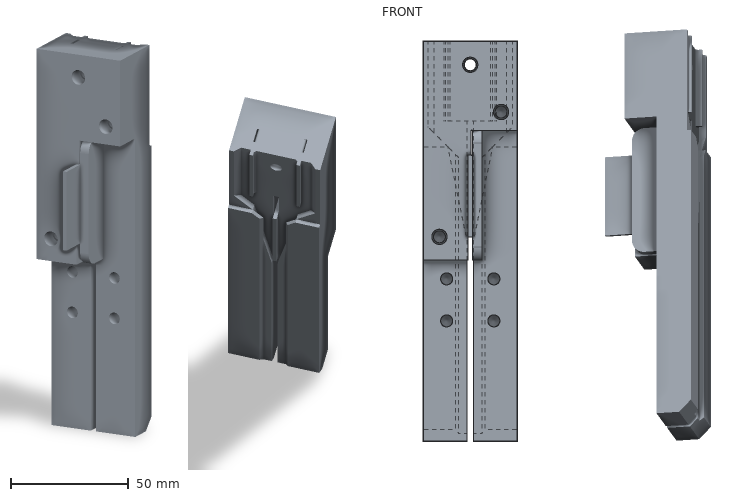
import cadquery as cq
import math


HEIGHT = 170.0
WIDTH = 40.0

FINGER_DEPTH = 15.0
FINGER_GAP = 2.5
LEDGE_Z = 125.1
LEDGE_DEPTH = 1.7
TOE_CHAMFER = 5.1
GROOVE_HALF_WIDTH = 5.0
GROOVE_FLARE = 1.28
FINGER_HOLE_DIAMETER = 5.1
FINGER_HOLE_DEPTH = 8.5
FINGER_HOLE_X = 10.0
FINGER_HOLE_HEIGHTS = (51.2, 69.0)
DRILL_POINT_ANGLE = 118.0

SADDLE_HALF_WIDTH = 11.0
SADDLE_HEIGHT = 34.0
SADDLE_WALL = 1.5
SADDLE_CORNER = 0.8
BLOCK_HALF_WIDTH = 10.5
BLOCK_DEPTH = 6.6
BLOCK_CORNER = 1.0
CHANNEL_Y = 10.7
RECESS_HALF_WIDTH = 15.3
FUNNEL_SLOPE = 45.0
FUNNEL_HALF_WIDTH = 9.5
THROAT_SLOPE = 78.5

COVER_DEPTH = 14.0
COVER_BOTTOM_Z = 77.0
NOTCH_X = 0.3
NOTCH_TOP_Z = 132.1
COVER_HOLE_DIAMETER = 5.1
COVER_BORE_DIAMETER = 6.5
COVER_BORE_DEPTH = 7.6
SCREW_HOLE_DEPTH = 11.9
THROUGH_HOLE_Z = 160.0
SCREW_HOLES = ((13.1, 139.9), (-13.1, 86.9))

BLADE_THICKNESS = 1.7
BLADE_BOTTOM_Z = 86.7
BLADE_HEIGHT = 34.8
BLADE_FRONT_Y = -26.5
BAR_RIGHT_X = 5.0
BAR_DEPTH = COVER_DEPTH
BAR_END_RADIUS = 5.5

HALF_WIDTH = WIDTH / 2
LEDGE_Y = FINGER_DEPTH - LEDGE_DEPTH
SADDLE_BOTTOM_Z = HEIGHT - SADDLE_HEIGHT
BLADE_TOP_Z = BLADE_BOTTOM_Z + BLADE_HEIGHT
HALF_GAP = FINGER_GAP / 2
HALF_BLADE = BLADE_THICKNESS / 2


def box(x_range, y_range, z_range):
    """Box given by its limits along each axis."""
    (x0, x1), (y0, y1), (z0, z1) = x_range, y_range, z_range
    return cq.Workplane("XY").box(x1 - x0, y1 - y0, z1 - z0, centered=False).translate((x0, y0, z0))


def extrude_along_y(points, y0, y1):
    """Prism with an XZ outline, reaching from y0 back to y1."""
    return cq.Workplane("XZ", origin=(0, y0, 0)).polyline(points).close().extrude(y0 - y1)


def hole_along_y(x, z, diameter, y0, y1):
    """Cylinder from y0 back to y1."""
    return cq.Workplane("XZ", origin=(x, y0, z)).circle(diameter / 2).extrude(y0 - y1)


def drilled_hole(x, z, diameter, y0, y1):
    """Blind hole drilled from y0 back to y1, ending in a drill point."""
    radius = diameter / 2
    point_depth = radius / math.tan(math.radians(DRILL_POINT_ANGLE / 2))
    profile = [(0, 0), (0, radius), (y1 - y0, radius), (y1 - y0 + point_depth, 0)]
    hole = cq.Workplane("YZ").polyline(profile).close().revolve(360, (0, 0, 0), (1, 0, 0))
    return hole.translate((x, y0, z))


def back_groove():
    """Flared groove along the full height of the back of the finger pair."""
    flare_x = GROOVE_HALF_WIDTH + GROOVE_FLARE
    outline = [
        (-GROOVE_HALF_WIDTH, LEDGE_Y),
        (GROOVE_HALF_WIDTH, LEDGE_Y),
        (flare_x, FINGER_DEPTH),
        (-flare_x, FINGER_DEPTH),
    ]
    return cq.Workplane("XY").polyline(outline).close().extrude(HEIGHT)


def top_recess():
    """Recess in the back of the finger tops: flared sides and a funnel-shaped floor."""
    flare_x = RECESS_HALF_WIDTH + LEDGE_Y - CHANNEL_Y
    reach = FINGER_DEPTH - CHANNEL_Y
    outer_x = RECESS_HALF_WIDTH + reach
    plan = [
        (-RECESS_HALF_WIDTH, CHANNEL_Y),
        (RECESS_HALF_WIDTH, CHANNEL_Y),
        (outer_x, FINGER_DEPTH),
        (-outer_x, FINGER_DEPTH),
    ]
    sides = cq.Workplane("XY").polyline(plan).close().extrude(HEIGHT)

    slope = math.tan(math.radians(FUNNEL_SLOPE))
    rim_z = LEDGE_Z + (flare_x - FUNNEL_HALF_WIDTH) * slope
    tip_z = LEDGE_Z - FUNNEL_HALF_WIDTH * slope
    funnel = [
        (0, tip_z),
        (flare_x, rim_z),
        (flare_x, HEIGHT),
        (-flare_x, HEIGHT),
        (-flare_x, rim_z),
    ]
    return sides.intersect(extrude_along_y(funnel, CHANNEL_Y, FINGER_DEPTH))


def throat():
    """Steep V below the funnel, narrowing towards the gap between the fingers."""
    tip_z = LEDGE_Z - FUNNEL_HALF_WIDTH * math.tan(math.radians(THROAT_SLOPE))
    outline = [(0, tip_z), (FUNNEL_HALF_WIDTH, LEDGE_Z), (-FUNNEL_HALF_WIDTH, LEDGE_Z)]
    return extrude_along_y(outline, CHANNEL_Y, LEDGE_Y)


def make_finger(side):
    """Finger on the left (side = -1) or on the right (side = 1)."""
    inner_x, outer_x = sorted((side * HALF_GAP, side * HALF_WIDTH))
    profile = [
        (0, 0),
        (FINGER_DEPTH - TOE_CHAMFER, 0),
        (FINGER_DEPTH, TOE_CHAMFER),
        (FINGER_DEPTH, LEDGE_Z),
        (LEDGE_Y, LEDGE_Z),
        (LEDGE_Y, HEIGHT),
        (0, HEIGHT),
    ]
    finger = cq.Workplane("YZ", origin=(inner_x, 0, 0)).polyline(profile).close().extrude(outer_x - inner_x)
    saddle_seat = box(
        (-SADDLE_HALF_WIDTH, SADDLE_HALF_WIDTH), (0, FINGER_DEPTH), (SADDLE_BOTTOM_Z, HEIGHT)
    )
    finger = finger.cut(back_groove()).cut(top_recess()).cut(throat()).cut(saddle_seat)
    for z in FINGER_HOLE_HEIGHTS:
        hole = drilled_hole(side * FINGER_HOLE_X, z, FINGER_HOLE_DIAMETER, 0, FINGER_HOLE_DEPTH)
        finger = finger.cut(hole)
    return finger


def make_saddle():
    """U-shaped saddle behind the block, its channel open to the back."""
    z_range = (SADDLE_BOTTOM_Z, HEIGHT)
    channel_half = SADDLE_HALF_WIDTH - SADDLE_WALL
    saddle = box((-SADDLE_HALF_WIDTH, SADDLE_HALF_WIDTH), (BLOCK_DEPTH, LEDGE_Y), z_range)
    channel = box((-channel_half, channel_half), (CHANNEL_Y, FINGER_DEPTH), z_range)
    channel = channel.edges("|Z and <Y").chamfer(SADDLE_CORNER)
    bore = hole_along_y(0, THROUGH_HOLE_Z, COVER_HOLE_DIAMETER, 0, FINGER_DEPTH)
    return saddle.cut(channel).cut(bore)


def make_block():
    """Block between the cover and the saddle, with rounded top corners."""
    block = box(
        (-BLOCK_HALF_WIDTH, BLOCK_HALF_WIDTH), (0, BLOCK_DEPTH), (SADDLE_BOTTOM_Z, HEIGHT)
    )
    block = block.edges("|Y and >Z").fillet(BLOCK_CORNER)
    return block.cut(hole_along_y(0, THROUGH_HOLE_Z, COVER_HOLE_DIAMETER, 0, BLOCK_DEPTH))


def make_cover():
    """L-shaped front plate with a slot for the blade and three counterbored holes."""
    outline = [
        (-HALF_WIDTH, COVER_BOTTOM_Z),
        (-HALF_BLADE, COVER_BOTTOM_Z),
        (-HALF_BLADE, BLADE_TOP_Z),
        (NOTCH_X, BLADE_TOP_Z),
        (NOTCH_X, NOTCH_TOP_Z),
        (HALF_WIDTH, NOTCH_TOP_Z),
        (HALF_WIDTH, HEIGHT),
        (-HALF_WIDTH, HEIGHT),
    ]
    cover = extrude_along_y(outline, -COVER_DEPTH, 0)
    bore_end_y = COVER_BORE_DEPTH - COVER_DEPTH
    screw_end_y = SCREW_HOLE_DEPTH - COVER_DEPTH
    for x, z in ((0, THROUGH_HOLE_Z), *SCREW_HOLES):
        cover = cover.cut(hole_along_y(x, z, COVER_BORE_DIAMETER, -COVER_DEPTH, bore_end_y))
    cover = cover.cut(hole_along_y(0, THROUGH_HOLE_Z, COVER_HOLE_DIAMETER, bore_end_y, 0))
    for x, z in SCREW_HOLES:
        cover = cover.cut(drilled_hole(x, z, COVER_HOLE_DIAMETER, bore_end_y, screw_end_y))
    return cover


def make_blade():
    """Thin blade in the gap between the fingers, standing out in front of the cover."""
    return box((-HALF_BLADE, HALF_BLADE), (BLADE_FRONT_Y, LEDGE_Y), (BLADE_BOTTOM_Z, BLADE_TOP_Z))


def make_bar():
    """Guide bar in the notch of the cover, rounded at the front of both ends."""
    bar = box((HALF_BLADE, BAR_RIGHT_X), (-BAR_DEPTH, 0), (COVER_BOTTOM_Z, NOTCH_TOP_Z))
    return bar.edges("|X and <Y").fillet(BAR_END_RADIUS)


fingers = [make_finger(side) for side in (-1, 1)]
saddle = make_saddle()
block = make_block()
cover = make_cover()
blade = make_blade()
bar = make_bar()

result = cq.Compound.makeCompound(
    [*[finger.val() for finger in fingers], saddle.val(), block.val(), cover.val(), blade.val(), bar.val()]
)